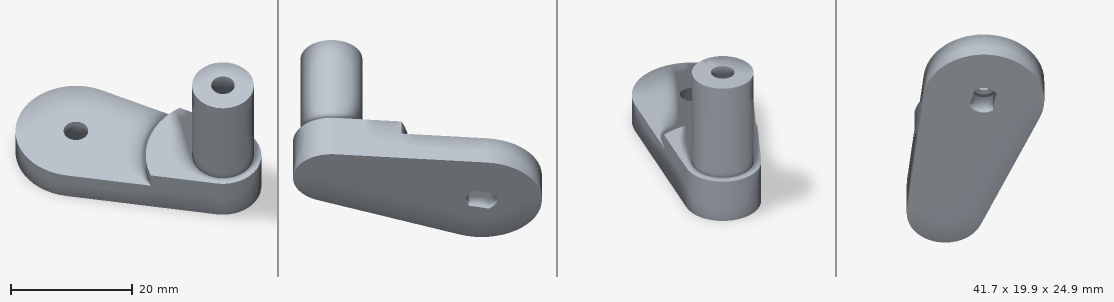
import cadquery as cq
import math

large_end_radius = 9.95
small_end_radius = 6.35
center_distance = 25.4
base_thickness = 5.1
step_top = 7.63
step_radius = 12.7
total_height = 24.9
pin_diameter = 10.15
pin_hole_diameter = 3.88
pivot_hole_diameter = 4.05
socket_diameter = 5.25
socket_roof = 1.25

socket_flat_width = pivot_hole_diameter
socket_depth = base_thickness - socket_roof
pin_height = total_height - step_top
pin_hole_depth = pin_height


def tapered_arm(height):
    """Plate with two round ends joined by tangent sides; the large end is at the origin."""
    tangent_sine = (large_end_radius - small_end_radius) / center_distance
    tangent_cosine = math.sqrt(1 - tangent_sine**2)
    large_x = large_end_radius * tangent_sine
    large_y = large_end_radius * tangent_cosine
    small_x = center_distance + small_end_radius * tangent_sine
    small_y = small_end_radius * tangent_cosine
    return (
        cq.Workplane("XY")
        .moveTo(large_x, large_y)
        .threePointArc((-large_end_radius, 0), (large_x, -large_y))
        .lineTo(small_x, -small_y)
        .threePointArc((center_distance + small_end_radius, 0), (small_x, small_y))
        .close()
        .extrude(height)
    )


def pin_axis_cylinder(diameter, bottom, height):
    """Upright cylinder on the pin axis."""
    return (
        cq.Workplane("XY", origin=(center_distance, 0, bottom))
        .circle(diameter / 2)
        .extrude(height)
    )


base = tapered_arm(base_thickness)
step = tapered_arm(step_top).intersect(pin_axis_cylinder(2 * step_radius, 0, step_top))

pin = pin_axis_cylinder(pin_diameter, step_top, pin_height)
pin_hole = pin_axis_cylinder(pin_hole_diameter, total_height - pin_hole_depth, pin_hole_depth)

pivot_hole = cq.Workplane("XY").circle(pivot_hole_diameter / 2).extrude(base_thickness)

socket_flats = (
    cq.Workplane("XY")
    .rect(socket_diameter, socket_flat_width)
    .extrude(socket_depth)
)
socket = cq.Workplane("XY").circle(socket_diameter / 2).extrude(socket_depth).intersect(socket_flats)

result = base.union(step).union(pin).cut(pin_hole).cut(pivot_hole).cut(socket)